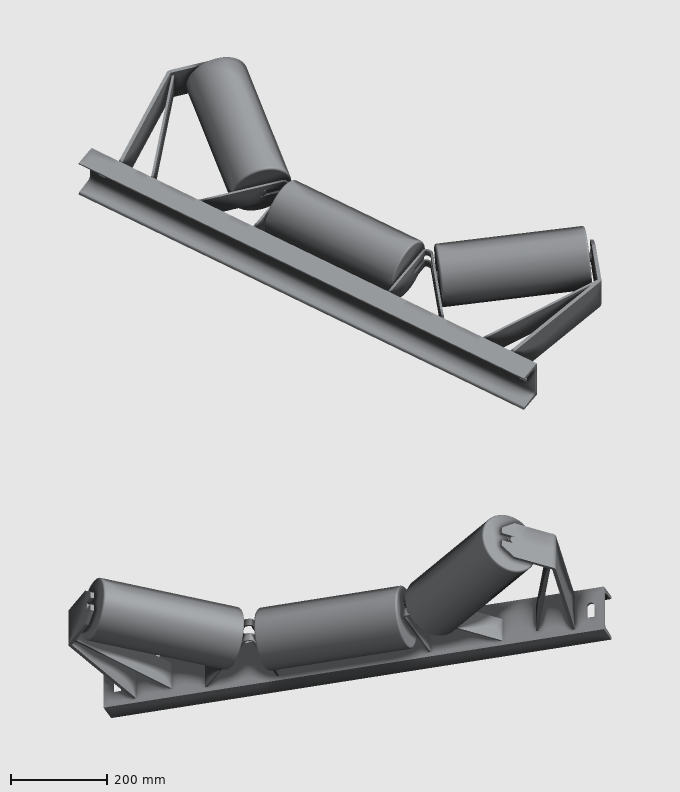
import cadquery as cq
import math


beam_length = 1100.0
beam_height = 100.0
flange_width = 50.0
web_thickness = 6.0
flange_mid_thickness = 8.5
flange_taper = 0.08
root_radius = 8.5
tip_radius = 4.0
mount_slot_width = 18.0
mount_slot_height = 34.0
mount_slot_inset = 30.0

roller_length = 315.0
roller_diameter = 133.0
roller_edge_radius = 4.0
shoulder_radius = 10.0
journal_radius = 8.2
shoulder_clearance = 0.5

level_axis_y = 119.0
level_axis_z = -14.0
level_gap = 7.0

trough_angle = 40.0
tilt_angle = 2.0
wing_x = 339.0
wing_y = 239.0
wing_z = -6.0
wing_inner_gap = 5.0
wing_outer_gap = 8.0

inner_thickness = 5.0
inner_width = 51.0
inner_top_y = 172.0
inner_bend_radius = 10.0

outer_thickness = 8.0
outer_width = 79.0
outer_foot_x = 486.0
outer_bend_radius = 13.0
outer_corner_drop = 101.0
outer_tip_rise = 30.0
tip_chamfer_along = 31.0
tip_chamfer_across = 19.0

strut_thickness = 5.0
strut_width = 59.0
strut_foot_x = 400.0
strut_head_drop = 89.0

half_roller = roller_length / 2
roller_radius = roller_diameter / 2
angle = math.radians(trough_angle)
axis_x, axis_y = math.cos(angle), math.sin(angle)


def wing_point(along, across):
    """XY point at a distance along the right inclined roller's axis and square to it, from its middle."""
    return (wing_x + along * axis_x - across * axis_y, wing_y + along * axis_y + across * axis_x)


def place_on_wing(body):
    """Move a body from the local roller frame (axis along X) to the right inclined roller."""
    return (
        body.rotate((0, 0, 0), (0, 1, 0), -tilt_angle)
        .rotate((0, 0, 0), (0, 0, 1), trough_angle)
        .translate((wing_x, wing_y, wing_z))
    )


def place_on_level(body):
    return body.translate((0, level_axis_y, level_axis_z))


def mirrored(body):
    return body.mirror("YZ")


def slab(outline, width, center_z=0.0):
    """Extrude an XY outline to a width in Z about a middle height."""
    return cq.Workplane("XY").workplane(offset=center_z - width / 2).polyline(outline).close().extrude(width)


def line_crossing(p, p_dir, q, q_dir):
    """Crossing point of two lines in the XY plane, each given by a point and a direction."""
    cross = p_dir[0] * q_dir[1] - p_dir[1] * q_dir[0]
    s = ((q[0] - p[0]) * q_dir[1] - (q[1] - p[1]) * q_dir[0]) / cross
    return (p[0] + s * p_dir[0], p[1] + s * p_dir[1])


def bend(body, corner, radius):
    """Round the Z edge of a strip that stands at an XY corner."""
    return body.edges("|Z").edges(cq.selectors.NearestToPointSelector((corner[0], corner[1], 0))).fillet(radius)


def make_beam():
    half_height = beam_height / 2
    tip_thickness = flange_mid_thickness - flange_taper * flange_width / 2
    root_thickness = flange_mid_thickness + flange_taper * (flange_width / 2 - web_thickness)
    tip_z = half_height - tip_thickness
    root_z = half_height - root_thickness
    outline = [
        (0, -half_height),
        (0, half_height),
        (-flange_width, half_height),
        (-flange_width, tip_z),
        (-web_thickness, root_z),
        (-web_thickness, -root_z),
        (-flange_width, -tip_z),
        (-flange_width, -half_height),
    ]
    beam = cq.Workplane("YZ", origin=(-beam_length / 2, 0, 0)).polyline(outline).close().extrude(beam_length)
    for side in (1, -1):
        root = cq.selectors.NearestToPointSelector((0, -web_thickness, side * root_z))
        beam = beam.edges("|X").edges(root).fillet(root_radius)
        tip = cq.selectors.NearestToPointSelector((0, -flange_width, side * tip_z))
        beam = beam.edges("|X").edges(tip).fillet(tip_radius)
    for side in (1, -1):
        beam = beam.cut(mount_slot().translate((side * (beam_length / 2 - mount_slot_inset), 0, 0)))
    return beam


def mount_slot():
    """Cutter for a slot through the web, with a round top and a square bottom."""
    half_width = mount_slot_width / 2
    top = mount_slot_height / 2
    return (
        cq.Workplane("XZ")
        .moveTo(-half_width, -top)
        .lineTo(-half_width, top - half_width)
        .threePointArc((0, top), (half_width, top - half_width))
        .lineTo(half_width, -top)
        .close()
        .extrude(web_thickness * 2, both=True)
    )


def make_roller(left_gap, left_plate, right_gap, right_plate):
    """Roller along X with a shaft whose journals end flush with the outer faces of the bracket plates."""
    def rod(radius, left_reach, right_reach):
        start = -half_roller - left_reach
        return cq.Workplane("YZ", origin=(start, 0, 0)).circle(radius).extrude(half_roller + right_reach - start)

    shell = rod(roller_radius, 0, 0).edges("%CIRCLE").fillet(roller_edge_radius)
    shoulders = rod(shoulder_radius, left_gap - shoulder_clearance, right_gap - shoulder_clearance)
    journals = rod(journal_radius, left_gap + left_plate, right_gap + right_plate)
    return shell.union(shoulders).union(journals)


def shaft_slot(reach):
    """Cutter along X: a round seat for a journal, open towards +Y."""
    opening = 2 * roller_radius
    seat = cq.Workplane("YZ").circle(journal_radius).extrude(reach, both=True)
    mouth = cq.Workplane("XY").box(2 * reach, opening, 2 * journal_radius).translate((0, opening / 2, 0))
    return seat.union(mouth)


level_slot_reach = half_roller + level_gap + 2 * inner_bend_radius
level_slot = place_on_level(shaft_slot(level_slot_reach))
wing_slot_reach = half_roller + wing_outer_gap + 2 * outer_thickness
wing_slot = place_on_wing(shaft_slot(wing_slot_reach))


def make_inner_bracket():
    """Right inner bracket: an upright leg, a short level top and a leg square to the inclined roller."""
    face_x = half_roller + level_gap
    back_x = face_x + inner_thickness
    under_y = inner_top_y - inner_thickness
    square = (-axis_y, axis_x)
    level = (1, 0)
    near_face = wing_point(-half_roller - wing_inner_gap, 0)
    far_face = wing_point(-half_roller - wing_inner_gap - inner_thickness, 0)
    top_corner = line_crossing(near_face, square, (0, inner_top_y), level)
    under_corner = line_crossing(far_face, square, (0, under_y), level)
    outline = [
        (face_x, 0),
        (face_x, inner_top_y),
        top_corner,
        line_crossing(near_face, square, (0, 0), level),
        line_crossing(far_face, square, (0, 0), level),
        under_corner,
        (back_x, under_y),
        (back_x, 0),
    ]
    inside_radius = inner_bend_radius - inner_thickness
    bracket = slab(outline, inner_width, level_axis_z)
    for corner in ((face_x, inner_top_y), top_corner):
        bracket = bend(bracket, corner, inner_bend_radius)
    for corner in ((back_x, under_y), under_corner):
        bracket = bend(bracket, corner, inside_radius)
    return bracket.cut(level_slot).cut(wing_slot)


outer_near_face = half_roller + wing_outer_gap
outer_far_face = outer_near_face + outer_thickness


def make_outer_bracket():
    """Right outer bracket: a leaning leg, bent over to stand square to the inclined roller."""
    corner = wing_point(outer_far_face, -outer_corner_drop)
    leg = (corner[0] - outer_foot_x, corner[1])
    leg_length = math.hypot(*leg)
    foot_width = outer_thickness * leg_length / leg[1]
    inner_foot = (outer_foot_x - foot_width, 0)
    inner_corner = line_crossing(inner_foot, leg, wing_point(outer_near_face, 0), (-axis_y, axis_x))
    outline = [
        (outer_foot_x, 0),
        corner,
        wing_point(outer_far_face, outer_tip_rise),
        wing_point(outer_near_face, outer_tip_rise),
        inner_corner,
        inner_foot,
    ]
    bracket = slab(outline, outer_width)
    bracket = bend(bracket, corner, outer_bend_radius)
    bracket = bend(bracket, inner_corner, outer_bend_radius - outer_thickness)
    for side in (1, -1):
        bracket = bracket.cut(tip_corner(side))
    return bracket.cut(wing_slot)


def tip_corner(side):
    """Cutter for one chamfered corner at the free end of the right outer bracket."""
    edge_z = side * outer_width / 2
    cutter = (
        cq.Workplane("YZ")
        .polyline([
            (outer_tip_rise, edge_z),
            (outer_tip_rise - tip_chamfer_along, edge_z),
            (outer_tip_rise, edge_z - side * tip_chamfer_across),
        ])
        .close()
        .extrude(roller_length)
    )
    return cutter.rotate((0, 0, 0), (0, 0, 1), trough_angle).translate((wing_x, wing_y, 0))


def make_strut():
    """Right strut from the web to the inside of the outer bracket, just above its bend."""
    foot = (strut_foot_x, 0)
    head = wing_point(outer_near_face, -strut_head_drop)
    run = (head[0] - foot[0], head[1])
    foot_width = strut_thickness * math.hypot(*run) / run[1]
    outer_foot = (strut_foot_x + foot_width, 0)
    outer_head = line_crossing(outer_foot, run, head, (-axis_y, axis_x))
    return slab([foot, head, outer_head, outer_foot], strut_width)


beam = make_beam()
level_roller = place_on_level(make_roller(level_gap, inner_thickness, level_gap, inner_thickness))
wing_roller = place_on_wing(make_roller(wing_inner_gap, inner_thickness, wing_outer_gap, outer_thickness))

bodies = [beam, level_roller]
for right_body in (wing_roller, make_inner_bracket(), make_outer_bracket(), make_strut()):
    bodies += [right_body, mirrored(right_body)]

result = cq.Compound.makeCompound([body.solids().val() for body in bodies])